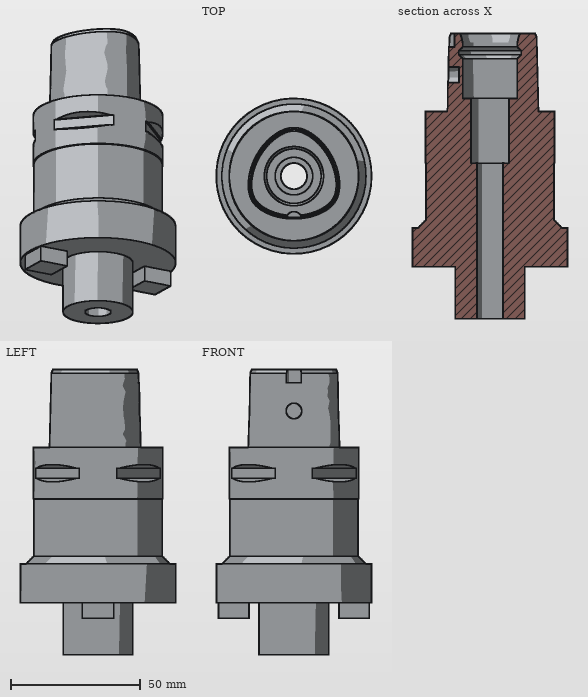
import cadquery as cq
import math


shank_length = 30.0
gauge_diameter = 35.15
gauge_height = 2.5
lobe_height = 1.1
diameter_taper = 1 / 20
rim_chamfer_height = 1.4
rim_chamfer_width = 0.6
curve_points = 72

flange_radius = 25.0
flange_height = 20.0
neck_radius = 24.8
neck_bottom = -42.0
cone_height = 3.0
cone_radius = neck_radius + cone_height
collar_radius = 30.0
collar_height = 15.0
pilot_radius = 13.5
pilot_length = 20.0
cone_bottom = neck_bottom - cone_height
collar_bottom = cone_bottom - collar_height
pilot_bottom = collar_bottom - pilot_length

key_width = 12.0
key_height = 6.0
key_inner = 17.3
key_outer = 29.1

mouth_radius = 11.45
mouth_angle = 15.0
bore_radius = 10.5
bore_depth = 25.0
groove_radius = 12.0
groove_start = 5.2
groove_floor_width = 1.55
thread_radius = 7.25
thread_depth = 50.0
through_radius = 5.0

gripper_flat_distance = 22.0
gripper_flat_height = 4.0
gripper_flank_distance = 22.65
gripper_middle = -10.0
gripper_flank_angle = 30.0
gripper_cut_margin = 1.0
gripper_angles = (45, 135, 225, 315)

notch_radius = 3.1
notch_axis_offset = 16.8
notch_depth = 5.2
dimple_diameter = 6.0
dimple_height = 14.0
dimple_floor_offset = 12.0


def mean_radius(height):
    """Mean radius of the tapered polygon at a height above the flange face."""
    return (gauge_diameter - diameter_taper * (height - gauge_height)) / 2


def polygon_section(radius, height):
    """Closed polygon curve with one lobe pointing along +Y."""

    def point(fraction):
        angle = 2 * math.pi * fraction
        along = radius * math.cos(angle) + lobe_height * (2 * math.cos(2 * angle) - math.cos(4 * angle))
        across = radius * math.sin(angle) - lobe_height * (2 * math.sin(2 * angle) + math.sin(4 * angle))
        return (-across, along, height)

    return cq.Workplane("XY").parametricCurve(point, N=curve_points).val()


def make_shank():
    chamfer_start = shank_length - rim_chamfer_height
    base = polygon_section(mean_radius(0), 0)
    shoulder = polygon_section(mean_radius(chamfer_start), chamfer_start)
    top_radius = mean_radius(shank_length) - rim_chamfer_width
    top = polygon_section(top_radius, shank_length)
    taper = cq.Solid.makeLoft([base, shoulder], True)
    rim = cq.Solid.makeLoft([shoulder, top], True)
    return cq.Workplane(taper).union(cq.Workplane(rim))


def make_body():
    flange_chamfer = flange_radius - neck_radius
    profile = [
        (0, 0),
        (flange_radius, 0),
        (flange_radius, flange_chamfer - flange_height),
        (neck_radius, -flange_height),
        (neck_radius, neck_bottom),
        (cone_radius, cone_bottom),
        (collar_radius, cone_bottom),
        (collar_radius, collar_bottom),
        (pilot_radius, collar_bottom),
        (pilot_radius, pilot_bottom),
        (0, pilot_bottom),
    ]
    return cq.Workplane("XZ").polyline(profile).close().revolve(360, (0, 0), (0, 1))


def make_keys():
    key_centre = (key_inner + key_outer) / 2
    return (
        cq.Workplane("XY", origin=(0, 0, collar_bottom))
        .pushPoints([(-key_centre, 0), (key_centre, 0)])
        .rect(key_outer - key_inner, key_width)
        .extrude(-key_height)
    )


def make_bore():
    mouth_depth = (mouth_radius - bore_radius) / math.tan(math.radians(mouth_angle))
    flank = groove_radius - bore_radius
    floor_start = groove_start + flank
    floor_end = floor_start + groove_floor_width
    profile = [
        (0, shank_length),
        (mouth_radius, shank_length),
        (bore_radius, shank_length - mouth_depth),
        (bore_radius, shank_length - groove_start),
        (groove_radius, shank_length - floor_start),
        (groove_radius, shank_length - floor_end),
        (bore_radius, shank_length - floor_end - flank),
        (bore_radius, shank_length - bore_depth),
        (thread_radius, shank_length - bore_depth),
        (thread_radius, shank_length - thread_depth),
        (through_radius, shank_length - thread_depth),
        (through_radius, pilot_bottom),
        (0, pilot_bottom),
    ]
    return cq.Workplane("XZ").polyline(profile).close().revolve(360, (0, 0), (0, 1))


def make_gripper_groove(angle):
    """Straight groove with a flat floor and flared sides, cut across the flange at an angle."""
    outer = flange_radius + gripper_cut_margin
    flank_rise = (outer - gripper_flank_distance) * math.tan(math.radians(gripper_flank_angle))
    floor_half = gripper_flat_height / 2
    mouth_half = floor_half + flank_rise
    profile = [
        (gripper_flat_distance, gripper_middle - floor_half),
        (gripper_flank_distance, gripper_middle - floor_half),
        (outer, gripper_middle - mouth_half),
        (outer, gripper_middle + mouth_half),
        (gripper_flank_distance, gripper_middle + floor_half),
        (gripper_flat_distance, gripper_middle + floor_half),
    ]
    groove = cq.Workplane("XZ").polyline(profile).close().extrude(flange_radius, both=True)
    return groove.rotate((0, 0, 0), (0, 0, 1), angle)


def make_notch():
    return (
        cq.Workplane("XY", origin=(0, -notch_axis_offset, shank_length))
        .circle(notch_radius)
        .extrude(-notch_depth)
    )


def make_dimple():
    return (
        cq.Workplane("XZ", origin=(0, -dimple_floor_offset, dimple_height))
        .circle(dimple_diameter / 2)
        .extrude(flange_radius - dimple_floor_offset)
    )


result = make_body().union(make_shank()).union(make_keys())
for groove_angle in gripper_angles:
    result = result.cut(make_gripper_groove(groove_angle))
result = result.cut(make_notch()).cut(make_dimple()).cut(make_bore())